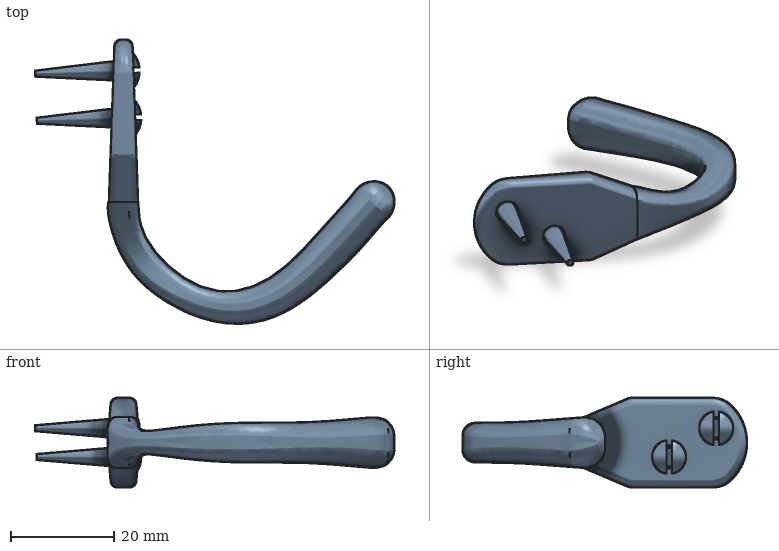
import cadquery as cq
import math

joint_half_thickness = 2.85
end_half_thickness = 1.75
joint_half_height = 4.95
plate_half_height = 8.7
plate_length = 31.5
taper_end_y = 8.85
end_arc_radius = 9.95
end_corner_radius = 5.0
flank_corner_radius = 2.1
edge_radius = 1.45

hook_sections = [
    (0, 0, -90, joint_half_thickness, joint_half_height, edge_radius),
    (1.0, -6.25, -74, 2.85, 3.1, 1.7),
    (6.55, -14.3, -42, 2.9, 2.4, 1.7),
    (14.75, -19.3, -18, 2.85, 3.4, 2.2),
    (21.7, -20.4, 6, 3.2, 3.8, 2.5),
    (30.95, -17.25, 32, 3.6, 3.9, 2.85),
    (40.0, -9.3, 47, 4.0, 4.2, 3.1),
    (44.1, -4.9, 48.5, 4.05, 4.5, 3.2),
    (48.2, -0.2, 49, 4.1, 4.9, 3.3),
]
tip_length = 4.4
dome_steps = [0, 20, 40, 60, 75, 85]

screw_places = [(25.5, 2.8), (16.4, -2.8)]
shank_radius = 1.8
shank_length = 4.7
point_length = 14.3
point_radius = 0.59
head_radius = 3.3
head_height = 1.2
slot_width = 1.05
clearance_radius = 2.15

face_slope = (joint_half_thickness - end_half_thickness) / plate_length
face_angle = math.degrees(math.atan(face_slope))


def corner_box(start_y, end_y):
    """Selector for the outline corners whose edges are centred between two Y positions."""
    reach = 2 * plate_half_height
    return cq.selectors.BoxSelector((-reach, start_y, -reach), (reach, end_y, reach))


def make_plate():
    """Tapered plate with a bowed end, rounded everywhere except at the hook joint."""
    bow_start_y = plate_length - end_arc_radius + math.sqrt(end_arc_radius**2 - plate_half_height**2)
    outline = (
        cq.Workplane("YZ")
        .moveTo(0, -joint_half_height)
        .lineTo(taper_end_y, -plate_half_height)
        .lineTo(bow_start_y, -plate_half_height)
        .threePointArc((plate_length, 0), (bow_start_y, plate_half_height))
        .lineTo(taper_end_y, plate_half_height)
        .lineTo(0, joint_half_height)
        .close()
        .extrude(joint_half_thickness, both=True)
    )
    middle_y = (taper_end_y + bow_start_y) / 2
    outline = outline.edges("|X").edges(corner_box(middle_y, plate_length)).fillet(end_corner_radius)
    outline = outline.edges("|X").edges(corner_box(taper_end_y / 2, middle_y)).fillet(flank_corner_radius)
    wedge = (
        cq.Workplane("XY")
        .polyline([
            (-joint_half_thickness, 0),
            (joint_half_thickness, 0),
            (end_half_thickness, plate_length),
            (-end_half_thickness, plate_length),
        ])
        .close()
        .extrude(plate_half_height, both=True)
    )
    plate = outline.intersect(wedge)
    return plate.faces("<X or >X").edges("not <Y").fillet(edge_radius)


def rounded_section(x, y, angle, half_width, half_height, radius):
    """Rounded rectangle wire square to the hook axis."""
    heading = math.radians(angle)
    plane = cq.Plane(
        origin=(x, y, 0),
        xDir=(-math.sin(heading), math.cos(heading), 0),
        normal=(math.cos(heading), math.sin(heading), 0),
    )
    diagonal = radius * (1 - math.sqrt(0.5))
    w, h = half_width, half_height
    return (
        cq.Workplane(plane)
        .moveTo(-w + radius, -h)
        .lineTo(w - radius, -h)
        .threePointArc((w - diagonal, -h + diagonal), (w, -h + radius))
        .lineTo(w, h - radius)
        .threePointArc((w - diagonal, h - diagonal), (w - radius, h))
        .lineTo(-w + radius, h)
        .threePointArc((-w + diagonal, h - diagonal), (-w, h - radius))
        .lineTo(-w, -h + radius)
        .threePointArc((-w + diagonal, -h + diagonal), (-w + radius, -h))
        .close()
        .val()
    )


def dome_section(step):
    """Last hook section, moved along the axis and shrunk to follow an elliptical dome."""
    x, y, angle, half_width, half_height, radius = hook_sections[-1]
    heading = math.radians(angle)
    advance = tip_length * math.sin(math.radians(step))
    shrink = math.cos(math.radians(step))
    return rounded_section(
        x + advance * math.cos(heading),
        y + advance * math.sin(heading),
        angle,
        half_width * shrink,
        half_height * shrink,
        radius * shrink,
    )


def make_hook():
    """Curved arm lofted through its sections, with a domed free end."""
    arm = cq.Workplane(cq.Solid.makeLoft([rounded_section(*section) for section in hook_sections]))
    dome = cq.Workplane(cq.Solid.makeLoft([dome_section(step) for step in dome_steps]))
    return arm.union(dome)


def place_on_back(body, y, z):
    """Move a body built along X from the origin so that it stands square on the back face."""
    back_x = joint_half_thickness - y * face_slope
    return body.rotate((0, 0, 0), (0, 0, 1), face_angle).translate((back_x, y, z))


def make_screw(y, z):
    """Slotted dome head, straight shank and tapered point."""
    tip_x = -shank_length - point_length
    dome_radius = (head_radius**2 + head_height**2) / (2 * head_height)
    dome_middle_x = head_height - dome_radius + math.sqrt(dome_radius**2 - (head_radius / 2)**2)
    screw = (
        cq.Workplane("XY")
        .moveTo(tip_x, 0)
        .lineTo(tip_x, point_radius)
        .lineTo(-shank_length, shank_radius)
        .lineTo(0, shank_radius)
        .lineTo(0, head_radius)
        .threePointArc((dome_middle_x, head_radius / 2), (head_height, 0))
        .close()
        .revolve(360, (0, 0, 0), (1, 0, 0))
    )
    slot = cq.Workplane("XY").box(head_height, slot_width, 2 * head_radius, centered=(False, True, True))
    return place_on_back(screw.cut(slot), y, z)


def make_screw_hole(y, z):
    """Clearance cylinder that passes right through the plate."""
    cylinder = cq.Workplane("YZ").circle(clearance_radius).extrude(2 * joint_half_thickness, both=True)
    return place_on_back(cylinder, y, z)


plate = make_plate()
for y, z in screw_places:
    plate = plate.cut(make_screw_hole(y, z))
hook = make_hook()
screws = [make_screw(y, z) for y, z in screw_places]

result = cq.Compound.makeCompound([
    plate.solids().val(),
    hook.solids().val(),
    *[screw.solids().val() for screw in screws],
])